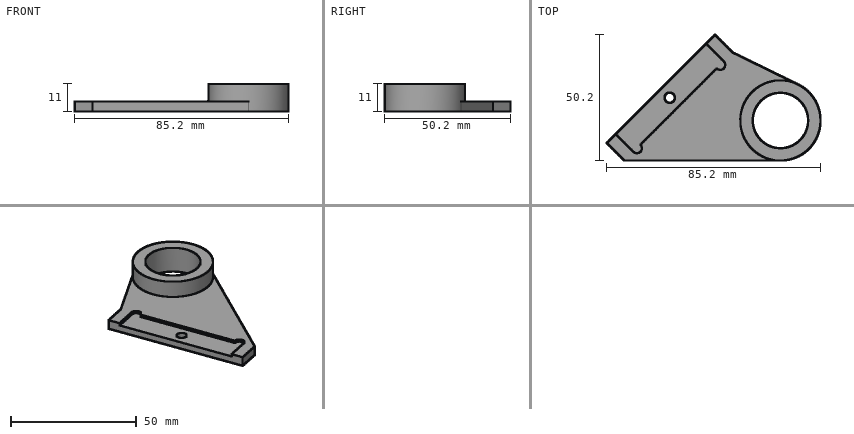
import cadquery as cq
import math

ring_diameter = 32.0
bore_diameter = 22.0
ring_height = 11.0
ring_radius = ring_diameter / 2

overall_length = 85.2
plate_thickness = 4.0
edge_angle = 45.0
edge_length = 61.0
end_length = 10.0

recess_margin = 5.0
recess_width = end_length
recess_depth = 1.0
relief_diameter = 4.0

hole_diameter = 4.0
hole_inset = recess_width / 2

edge_start_x = ring_radius - overall_length
edge_start_y = end_length * math.sin(math.radians(edge_angle)) - ring_radius


def plate_point(along, inward):
    """Point at a distance along the mounting edge and inward from it."""
    cosine = math.cos(math.radians(edge_angle))
    sine = math.sin(math.radians(edge_angle))
    return (
        edge_start_x + along * cosine + inward * sine,
        edge_start_y + along * sine - inward * cosine,
    )


def make_plate():
    """Plate whose two long sides run tangent to the ring."""
    upper_corner = plate_point(edge_length, end_length)
    corner_distance = math.hypot(*upper_corner)
    corner_angle = math.atan2(upper_corner[1], upper_corner[0])
    tangent_angle = corner_angle - math.acos(ring_radius / corner_distance)
    upper_tangent = (
        ring_radius * math.cos(tangent_angle),
        ring_radius * math.sin(tangent_angle),
    )
    return (
        cq.Workplane("XY")
        .moveTo(*plate_point(0, 0))
        .lineTo(*plate_point(0, end_length))
        .lineTo(0, -ring_radius)
        .threePointArc((ring_radius, 0), upper_tangent)
        .lineTo(*upper_corner)
        .lineTo(*plate_point(edge_length, 0))
        .close()
        .extrude(plate_thickness)
    )


def make_recess():
    """Recess volume: a strip on the mounting edge plus a round relief at each inner corner."""
    recess_end = edge_length - recess_margin
    floor = cq.Workplane("XY").workplane(offset=plate_thickness - recess_depth)
    strip = floor.polyline([
        plate_point(recess_margin, 0),
        plate_point(recess_margin, recess_width),
        plate_point(recess_end, recess_width),
        plate_point(recess_end, 0),
    ]).close().extrude(recess_depth)
    relief_radius = relief_diameter / 2
    relief_centers = [
        plate_point(recess_margin + relief_radius, recess_width),
        plate_point(recess_end - relief_radius, recess_width),
    ]
    reliefs = floor.pushPoints(relief_centers).circle(relief_radius).extrude(recess_depth)
    return strip.union(reliefs)


ring = cq.Workplane("XY").circle(ring_radius).extrude(ring_height)
bore = cq.Workplane("XY").circle(bore_diameter / 2).extrude(ring_height)
mounting_hole = (
    cq.Workplane("XY")
    .center(*plate_point(edge_length / 2, hole_inset))
    .circle(hole_diameter / 2)
    .extrude(plate_thickness)
)

result = make_plate().cut(make_recess()).cut(mounting_hole).union(ring).cut(bore)